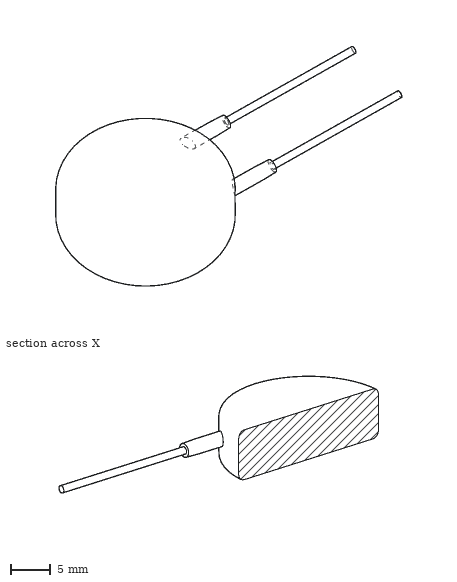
import cadquery as cq
body_diameter = 23.0
body_height = 7.0
body_edge_radius = 1.0

lead_spacing = 10.0
lead_height_offset = 0.5
lead_projection = 25.0
lead_end_y = body_diameter / 2 + lead_projection
wire_diameter = 1.0

sleeve_diameter = 2.0
sleeve_tip_diameter = 1.85
sleeve_tip_length = 2.0
sleeve_projection = 4.9
sleeve_end_y = body_diameter / 2 + sleeve_projection
sleeve_root_y = body_diameter / 4


def make_body():
    """Round disc with both rims rounded over."""
    disc = cq.Workplane("XY").circle(body_diameter / 2).extrude(body_height)
    rounded_disc = disc.edges("%CIRCLE").fillet(body_edge_radius)
    return rounded_disc.translate((0, 0, -body_height / 2))


def make_lead(x, z):
    """Sleeve and wire in one, revolved about the lead axis; the root is buried in the body."""
    taper_start_y = sleeve_end_y - sleeve_tip_length
    half_profile = (
        cq.Workplane("YZ")
        .moveTo(sleeve_root_y, 0)
        .lineTo(sleeve_root_y, sleeve_diameter / 2)
        .lineTo(taper_start_y, sleeve_diameter / 2)
        .lineTo(sleeve_end_y, sleeve_tip_diameter / 2)
        .lineTo(sleeve_end_y, wire_diameter / 2)
        .lineTo(lead_end_y, wire_diameter / 2)
        .lineTo(lead_end_y, 0)
        .close()
    )
    return half_profile.revolve(360, (0, 0, 0), (1, 0, 0)).translate((x, 0, z))


result = make_body()
for side in (-1, 1):
    result = result.union(make_lead(side * lead_spacing / 2, side * lead_height_offset))